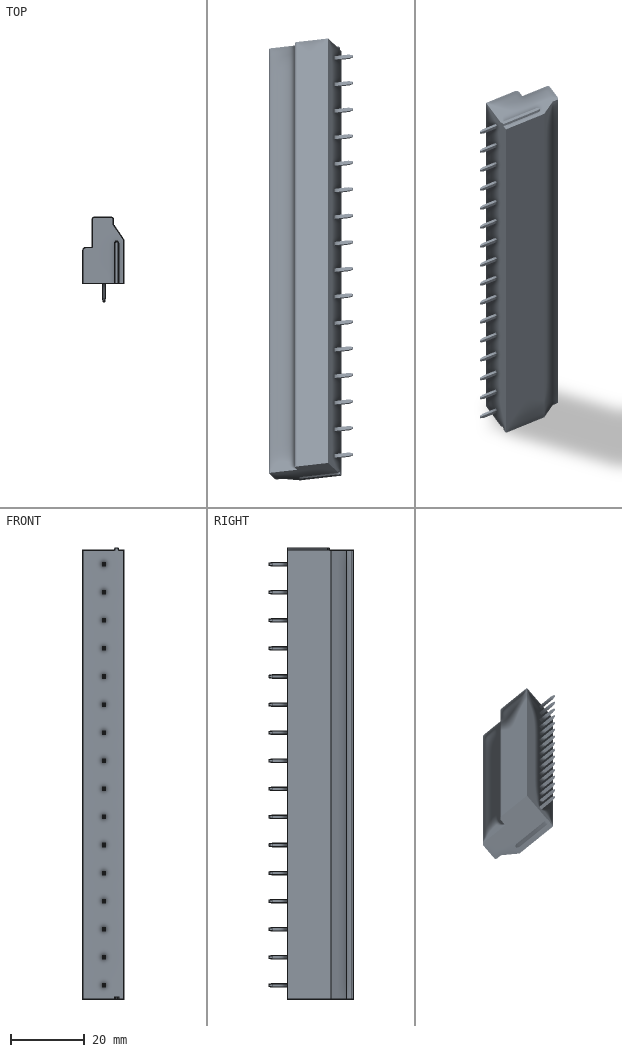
import cadquery as cq

overall_depth = 23.0
overall_height = 122.5
pin_length = 5.0
rib_height = 0.6

housing_width = 11.1
housing_depth = overall_depth - pin_length
housing_height = overall_height - rib_height

step_width = 2.6
step_depth = 9.8
step_radius = 0.9
crown_right = 8.3
crown_radius = 0.6
shoulder_depth = 16.0
slope_end_depth = 11.9

pin_count = 16
pin_width = 0.7
pin_height = 1.0
pin_x = 5.8
pin_tip_length = 1.0
pin_tip_inset = 0.18
pin_pitch = housing_height / pin_count

key_x = 9.2
key_width = 1.2
key_length = 11.5
rib_inset = 0.18
groove_depth = 0.6


def make_housing():
    profile = [
        (0, 0),
        (housing_width, 0),
        (housing_width, slope_end_depth),
        (crown_right, shoulder_depth),
        (crown_right, housing_depth),
        (step_width, housing_depth),
        (step_width, step_depth),
        (0, step_depth),
    ]
    housing = cq.Workplane("XY").polyline(profile).close().extrude(housing_height)
    rounded_corners = [
        (0, step_depth, step_radius),
        (step_width, housing_depth, crown_radius),
        (crown_right, housing_depth, crown_radius),
    ]
    for x, y, radius in rounded_corners:
        corner = cq.selectors.NearestToPointSelector((x, y, housing_height / 2))
        housing = housing.edges(corner).fillet(radius)
    return housing


def key_outline(plane, inset):
    """Strip open at the front face with a narrowing rear end, moved inwards by the inset."""
    half_width = key_width / 2 - inset
    tip_y = key_length - inset
    return (
        plane.moveTo(-half_width, 0)
        .lineTo(half_width, 0)
        .lineTo(half_width, tip_y - half_width)
        .lineTo(half_width / 2, tip_y)
        .lineTo(-half_width / 2, tip_y)
        .lineTo(-half_width, tip_y - half_width)
        .close()
    )


def make_key(base_z, inset, height):
    """Bar along Y whose sides lean inwards by the inset over its height."""
    base = key_outline(cq.Workplane("XY", origin=(key_x, 0, base_z)), 0)
    return key_outline(base.workplane(offset=height), inset).loft(ruled=True)


def make_pin(center_z):
    """Rectangular pin with a tapered tip, pointing towards -Y."""
    shaft_length = pin_length - pin_tip_length
    shaft = (
        cq.Workplane("XZ", origin=(pin_x, 0, center_z))
        .rect(pin_width, pin_height)
        .extrude(shaft_length)
    )
    tip = (
        shaft.faces("<Y").workplane()
        .rect(pin_width, pin_height)
        .workplane(offset=pin_tip_length)
        .rect(pin_width - 2 * pin_tip_inset, pin_height - 2 * pin_tip_inset)
        .loft(combine=False)
    )
    return shaft.union(tip)


result = make_housing()
result = result.union(make_key(housing_height, rib_inset, rib_height))
result = result.cut(make_key(0, 0, groove_depth))
for index in range(pin_count):
    result = result.union(make_pin((index + 0.5) * pin_pitch))